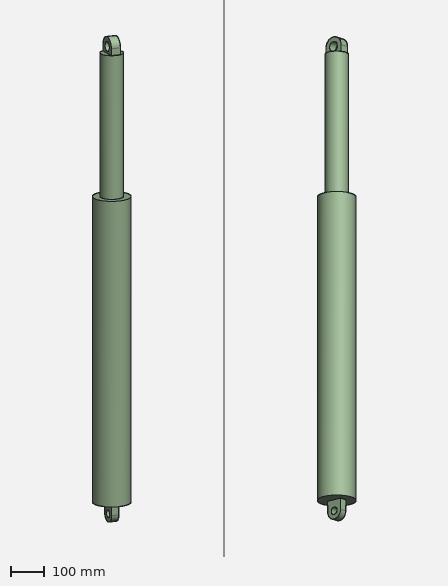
import cadquery as cq

total_height = 1488.0
lower_eye_height = 60.0
barrel_length = 937.0
upper_eye_height = 50.0
barrel_top = lower_eye_height + barrel_length
rod_length = total_height - upper_eye_height - barrel_top

barrel_diameter = 115.0
rod_diameter = 70.0

upper_eye_width = 60.0
upper_eye_thickness = 30.0
upper_hole_diameter = 30.0
lower_eye_width = 50.0
lower_eye_thickness = 24.0
lower_hole_diameter = 22.0


def make_eye(width, height, thickness, hole_diameter):
    """Upright eye standing on Z = 0, centred on the Z axis."""
    radius = width / 2
    hole_height = height - radius
    return (
        cq.Workplane("XZ")
        .moveTo(-radius, 0)
        .lineTo(radius, 0)
        .lineTo(radius, hole_height)
        .threePointArc((0, height), (-radius, hole_height))
        .close()
        .moveTo(0, hole_height)
        .circle(hole_diameter / 2)
        .extrude(thickness / 2, both=True)
    )


def make_barrel():
    """Barrel with its mounting eye hanging from the lower end."""
    tube = cq.Workplane("XY").circle(barrel_diameter / 2).extrude(barrel_length)
    eye = make_eye(lower_eye_width, lower_eye_height, lower_eye_thickness, lower_hole_diameter)
    hanging_eye = eye.rotate((0, 0, 0), (0, 1, 0), 180)
    return tube.union(hanging_eye).translate((0, 0, lower_eye_height))


def make_rod():
    """Rod standing on the barrel's end face, with an eye on top."""
    shaft = cq.Workplane("XY").circle(rod_diameter / 2).extrude(rod_length)
    eye = make_eye(upper_eye_width, upper_eye_height, upper_eye_thickness, upper_hole_diameter)
    return shaft.union(eye.translate((0, 0, rod_length))).translate((0, 0, barrel_top))


barrel = make_barrel()
rod = make_rod()

result = cq.Compound.makeCompound([barrel.val(), rod.val()])